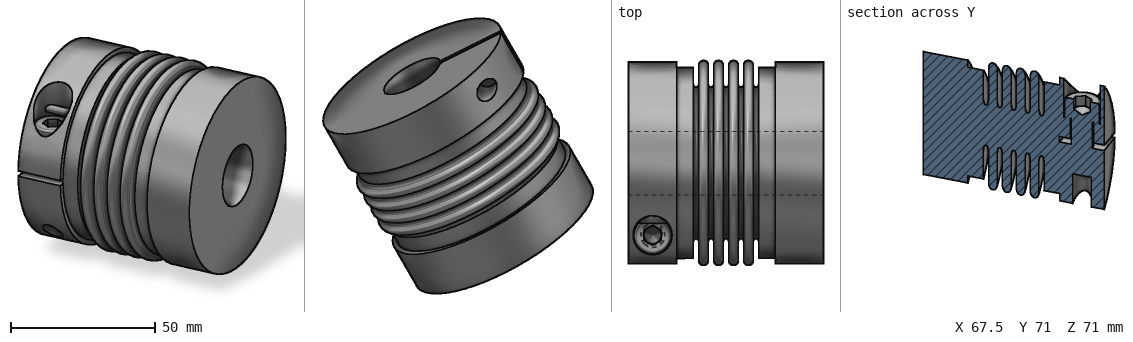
import cadquery as cq


total_length = 67.5
hub_diameter = 69.9
hub_length = 16.7
collar_diameter = 66.2
bore_diameter = 22.0

crest_diameter = 71.0
root_diameter = 52.55
crest_count = 4
crest_width = 3.4
valley_width = 1.8
bellows_length = crest_count * crest_width + (crest_count + 1) * valley_width
bellows_start = (total_length - bellows_length) / 2

slit_width = 2.0

screw_x = hub_length / 2
screw_y = -25.0
counterbore_diameter = 13.5
clearance_diameter = 8.5
tapped_diameter = 6.8
shank_diameter = 8.0
head_diameter = 13.0
head_height = 8.0
head_top_z = 17.1
head_seat_z = head_top_z - head_height
head_round = 0.8
screw_end_z = -12.8

socket_across_flats = 6.0
socket_depth = 4.0
socket_cone_depth = 1.8

pin_diameter = 3.0
pin_length = 13.5
pin_y = -19.4
pin_z = 19.45


def vertical_cylinder(diameter, z_bottom, z_top):
    """Cylinder on the clamp screw axis."""
    base = cq.Workplane("XY", origin=(screw_x, screw_y, z_bottom))
    return base.circle(diameter / 2).extrude(z_top - z_bottom)


def make_body():
    """Hubs, collars and bellows, revolved from a half profile in (X, radius)."""
    hub_radius = hub_diameter / 2
    collar_radius = collar_diameter / 2
    bore_radius = bore_diameter / 2
    crest_round = crest_width / 2
    crest_radius = crest_diameter / 2
    crest_shoulder = crest_radius - crest_round
    valley_round = valley_width / 2
    root_radius = root_diameter / 2
    root_shoulder = root_radius + valley_round

    profile = (
        cq.Workplane("XY")
        .moveTo(0, bore_radius)
        .lineTo(0, hub_radius)
        .lineTo(hub_length, hub_radius)
        .lineTo(hub_length, collar_radius)
        .lineTo(bellows_start, collar_radius)
        .lineTo(bellows_start, root_shoulder)
    )
    x = bellows_start
    for _ in range(crest_count):
        crest_x = x + valley_width
        profile = (
            profile
            .threePointArc((x + valley_round, root_radius), (crest_x, root_shoulder))
            .lineTo(crest_x, crest_shoulder)
            .threePointArc((crest_x + crest_round, crest_radius), (crest_x + crest_width, crest_shoulder))
            .lineTo(crest_x + crest_width, root_shoulder)
        )
        x = crest_x + crest_width
    bellows_end = total_length - bellows_start
    profile = (
        profile
        .threePointArc((x + valley_round, root_radius), (bellows_end, root_shoulder))
        .lineTo(bellows_end, collar_radius)
        .lineTo(total_length - hub_length, collar_radius)
        .lineTo(total_length - hub_length, hub_radius)
        .lineTo(total_length, hub_radius)
        .lineTo(total_length, bore_radius)
        .close()
    )
    return profile.revolve(360, (0, 0, 0), (1, 0, 0))


def make_slit():
    """Radial cut from the bore out through the -Y side of the clamped hub."""
    slit_size = (hub_length, hub_diameter / 2, slit_width)
    return cq.Workplane("XY").box(*slit_size, centered=(False, False, True)).translate((0, -hub_diameter / 2, 0))


def make_screw_holes():
    """Head pocket, clearance hole above the slit and tapped hole below it."""
    outside_z = hub_diameter / 2
    pocket = vertical_cylinder(counterbore_diameter, head_seat_z, outside_z)
    clearance = vertical_cylinder(clearance_diameter, 0, head_seat_z)
    tapped = vertical_cylinder(tapped_diameter, -outside_z, 0)
    return pocket.union(clearance).union(tapped)


def make_screw():
    """Socket head cap screw with a rounded head edge."""
    head = vertical_cylinder(head_diameter, head_seat_z, head_top_z).faces(">Z").edges().fillet(head_round)
    shank = vertical_cylinder(shank_diameter, screw_end_z, head_seat_z)

    socket = (
        cq.Workplane("XY", origin=(screw_x, screw_y, head_top_z))
        .polygon(6, socket_across_flats, circumscribed=True)
        .extrude(-socket_depth)
    )
    cone = cq.Workplane(
        cq.Solid.makeCone(
            socket_across_flats / 2,
            0,
            socket_cone_depth,
            pnt=cq.Vector(screw_x, screw_y, head_top_z - socket_depth),
            dir=cq.Vector(0, 0, -1),
        )
    )
    return head.union(shank).cut(socket).cut(cone)


def make_pin():
    """Pin along X across the head pocket, with both ends buried in the hub."""
    base = cq.Workplane("YZ", origin=(screw_x - pin_length / 2, pin_y, pin_z))
    return base.circle(pin_diameter / 2).extrude(pin_length)


clamped_body = make_body().cut(make_slit()).cut(make_screw_holes())
result = clamped_body.union(make_screw()).union(make_pin())